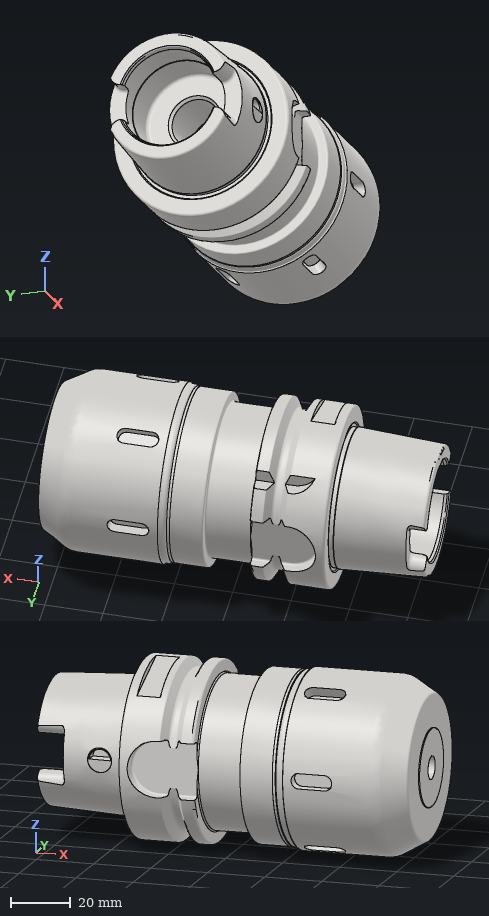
import cadquery as cq
import math


SHANK_LENGTH = 32.0
CHUCK_LENGTH = 100.0
OVERCUT = 5.0

SEAM_ANGLE = 255.0

GAUGE_DIA = 48.24
TAPER_RATE = 0.1
TAPER_END_X = -1.5
SHANK_ROOT_DIA = 47.8
SHANK_TIP_X = -SHANK_LENGTH
TIP_DIA = GAUGE_DIA - TAPER_RATE * (TAPER_END_X - SHANK_TIP_X)
TIP_ROUND = 1.0

UNDERCUT_DIA = 51.0
UNDERCUT_DEPTH = 0.4

FLANGE_DIA = 63.0
FLANGE_END_X = 26.0
FLANGE_FACE_ROUND = 1.0
FLANGE_BACK_ROUND = 1.0
GROOVE_BOTTOM_DIA = 54.8
GROOVE_CENTER_X = 17.75
GROOVE_BOTTOM_WIDTH = 2.7
GROOVE_WALL_ANGLE = 30.0
GROOVE_BOTTOM_ROUND = 1.0
GROOVE_RIM_ROUND = 0.5

NECK_DIA = 53.0
NECK_ROUND = 0.5
COLLAR_DIA = 60.0
COLLAR_START_X = 42.0
COLLAR_END_X = 53.5
COLLAR_ROUND = 0.6
CORE_DIA = 48.0
NOSE_DIA = 27.0

SHANK_BORE_DIA = 34.0
SHANK_BORE_DEPTH = 26.5
CAVITY_DIA = 34.4
CAVITY_START_X = -19.3
CAVITY_FLOOR_DIA = 31.6
CAVITY_ROUND = (CAVITY_DIA - CAVITY_FLOOR_DIA) / 2
BORE_MOUTH_DIA = 35.8
BORE_MOUTH_MID_DIA = 34.9
BORE_MOUTH_STEP = 0.5
BORE_MOUTH_DEPTH = 1.5
TUBE_BORE_DIA = 17.0
TUBE_BORE_DEPTH = 20.0
TUBE_BORE_CHAMFER = 1.0
THROUGH_DIA = 8.0

TIP_SLOT_WIDTH = 12.5
TIP_SLOT_LIP_ROUND = 4.2
TIP_SLOT_LIP_Y = 20.6
TIP_SLOT_CORNER = 1.4
DEEP_TIP_SLOT = 10.0
SHALLOW_TIP_SLOT = 6.0

RADIAL_HOLE_X = -9.0
RADIAL_HOLE_DIA = 7.5
RADIAL_HOLE_RIM_DIA = 8.5
RADIAL_HOLE_DEPTH = 4.5
RADIAL_HOLE_EDGE_Z = 0.2
RADIAL_HOLE_STEP = 0.1

KEYWAY_WIDTH = 19.5
KEYWAY_START_X = 3.1
KEYWAY_FLOOR_Y = NECK_DIA / 2
KEYWAY_FLOOR_ROUND = 0.8

NOTCH_FLOOR_Y = 20.2
NOTCH_FLOOR_Z = 19.8
NOTCH_RADIUS = 8.4
NOTCH_CENTER_X = 13.1
FLAT_START_X = 3.5
FLAT_END_X = 11.6
FLAT_TILT = 21.8
FLAT_DISTANCE = FLANGE_DIA / 2 * math.cos(math.radians(FLAT_TILT))

SEAL_WIDTH = 1.0

NUT_DIA = 62.0
NUT_START_X = COLLAR_END_X + SEAL_WIDTH
NOSE_PROTRUSION = 0.4
NUT_END_X = CHUCK_LENGTH - NOSE_PROTRUSION
NUT_RIM_DIA = 61.0
NUT_RIM_END_X = 57.4
NUT_RIM_ROUND = 1.5
NUT_STEP_ROUND = 0.4
NUT_CONE_START_X = 89.5
NUT_CONE_ANGLE = 30.0
NUT_CONE_ROUND = 7.5
NUT_END_ROUND = 1.2
NUT_LIP = 6.0
WRENCH_SLOT_COUNT = 6
WRENCH_SLOT_LENGTH = 14.2
WRENCH_SLOT_WIDTH = 5.3
WRENCH_SLOT_X = 67.5
WRENCH_SLOT_FLOOR = 27.0


def turned(points):
    """Solid of revolution about X from (x, diameter) points, with its seam at an angle to Y and Z."""
    half_section = [(x, diameter / 2) for x, diameter in points]
    body = cq.Workplane("XY").polyline(half_section).close().revolve(360, (0, 0, 0), (1, 0, 0))
    return body.rotate((0, 0, 0), (1, 0, 0), SEAM_ANGLE)


def ring_edges(body, x, diameter):
    """The full circular edges of a turned body at one station along X."""
    tolerance = 1e-3
    found = [
        edge
        for edge in body.edges("%CIRCLE").vals()
        if abs(edge.Center().x - x) < tolerance and abs(edge.radius() - diameter / 2) < tolerance
    ]
    return body.newObject(found)


def round_ring(body, x, diameter, radius):
    """Fillet one circular edge of a turned body."""
    return ring_edges(body, x, diameter).fillet(radius)


def cylinder_along_x(start_x, end_x, diameter):
    return cq.Workplane("YZ", origin=(start_x, 0, 0)).circle(diameter / 2).extrude(end_x - start_x)


def holder_blank():
    groove_rise = (FLANGE_DIA - GROOVE_BOTTOM_DIA) / 2
    groove_flank = groove_rise * math.tan(math.radians(GROOVE_WALL_ANGLE))
    bottom_start = GROOVE_CENTER_X - GROOVE_BOTTOM_WIDTH / 2
    bottom_end = GROOVE_CENTER_X + GROOVE_BOTTOM_WIDTH / 2
    rim_start = bottom_start - groove_flank
    rim_end = bottom_end + groove_flank
    nose_start = NUT_END_X - NUT_LIP
    root_drop = (GAUGE_DIA - SHANK_ROOT_DIA) / 2
    body = turned([
        (SHANK_TIP_X, 0),
        (SHANK_TIP_X, TIP_DIA),
        (TAPER_END_X, GAUGE_DIA),
        (TAPER_END_X + root_drop, SHANK_ROOT_DIA),
        (UNDERCUT_DEPTH, SHANK_ROOT_DIA),
        (UNDERCUT_DEPTH, UNDERCUT_DIA - 2 * UNDERCUT_DEPTH),
        (0, UNDERCUT_DIA),
        (0, FLANGE_DIA),
        (rim_start, FLANGE_DIA),
        (bottom_start, GROOVE_BOTTOM_DIA),
        (bottom_end, GROOVE_BOTTOM_DIA),
        (rim_end, FLANGE_DIA),
        (FLANGE_END_X, FLANGE_DIA),
        (FLANGE_END_X, NECK_DIA),
        (COLLAR_START_X, NECK_DIA),
        (COLLAR_START_X, COLLAR_DIA),
        (COLLAR_END_X, COLLAR_DIA),
        (COLLAR_END_X, CORE_DIA),
        (nose_start, CORE_DIA),
        (nose_start, NOSE_DIA),
        (CHUCK_LENGTH, NOSE_DIA),
        (CHUCK_LENGTH, 0),
    ])
    rounds = [
        (SHANK_TIP_X, TIP_DIA, TIP_ROUND),
        (0, FLANGE_DIA, FLANGE_FACE_ROUND),
        (rim_start, FLANGE_DIA, GROOVE_RIM_ROUND),
        (bottom_start, GROOVE_BOTTOM_DIA, GROOVE_BOTTOM_ROUND),
        (bottom_end, GROOVE_BOTTOM_DIA, GROOVE_BOTTOM_ROUND),
        (rim_end, FLANGE_DIA, GROOVE_RIM_ROUND),
        (FLANGE_END_X, FLANGE_DIA, FLANGE_BACK_ROUND),
        (FLANGE_END_X, NECK_DIA, NECK_ROUND),
        (COLLAR_START_X, NECK_DIA, NECK_ROUND),
        (COLLAR_START_X, COLLAR_DIA, COLLAR_ROUND),
    ]
    for x, diameter, radius in rounds:
        body = round_ring(body, x, diameter, radius)
    return body


def holder_bore():
    """Stepped bore: shank cavity, coolant tube bore and a through hole."""
    cavity_floor = SHANK_TIP_X + SHANK_BORE_DEPTH
    tube_floor = cavity_floor + TUBE_BORE_DEPTH
    bore = turned([
        (SHANK_TIP_X, 0),
        (SHANK_TIP_X, BORE_MOUTH_DIA),
        (SHANK_TIP_X + BORE_MOUTH_STEP, BORE_MOUTH_MID_DIA),
        (SHANK_TIP_X + BORE_MOUTH_DEPTH, SHANK_BORE_DIA),
        (CAVITY_START_X, SHANK_BORE_DIA),
        (CAVITY_START_X, CAVITY_DIA),
        (cavity_floor, CAVITY_DIA),
        (cavity_floor, TUBE_BORE_DIA + 2 * TUBE_BORE_CHAMFER),
        (cavity_floor + TUBE_BORE_CHAMFER, TUBE_BORE_DIA),
        (tube_floor, TUBE_BORE_DIA),
        (tube_floor, THROUGH_DIA),
        (CHUCK_LENGTH, THROUGH_DIA),
        (CHUCK_LENGTH, 0),
    ])
    return round_ring(bore, cavity_floor, CAVITY_DIA, CAVITY_ROUND)


def tip_slot(side, depth):
    """Drive slot through the shank wall; side is -1 for -Y and +1 for +Y."""
    half_width = TIP_SLOT_WIDTH / 2
    lip_z = half_width + TIP_SLOT_LIP_ROUND
    lip_start_y = TIP_SLOT_LIP_Y - TIP_SLOT_LIP_ROUND
    diagonal = TIP_SLOT_LIP_ROUND * math.sqrt(0.5)
    lip_mid = (lip_start_y + diagonal, lip_z - diagonal)
    inner_y = SHANK_BORE_DIA / 4
    outer_y = GAUGE_DIA / 2
    slot = (
        cq.Workplane("YZ", origin=(SHANK_TIP_X, 0, 0))
        .moveTo(side * inner_y, -half_width)
        .lineTo(side * lip_start_y, -half_width)
        .threePointArc((side * lip_mid[0], -lip_mid[1]), (side * TIP_SLOT_LIP_Y, -lip_z))
        .lineTo(side * outer_y, -lip_z)
        .lineTo(side * outer_y, lip_z)
        .lineTo(side * TIP_SLOT_LIP_Y, lip_z)
        .threePointArc((side * lip_mid[0], lip_mid[1]), (side * lip_start_y, half_width))
        .lineTo(side * inner_y, half_width)
        .close()
        .extrude(depth)
    )
    slot_walls = cq.selectors.BoxSelector(
        (SHANK_TIP_X, -TIP_SLOT_LIP_Y, -lip_z),
        (SHANK_TIP_X + OVERCUT + depth, TIP_SLOT_LIP_Y, lip_z),
    )
    return slot.faces(">X").edges(slot_walls).edges("not |Z").fillet(TIP_SLOT_CORNER)


def radial_hole():
    """Countersunk blind hole on the -Y side, full depth above its edge and a shallow step below it."""
    rim_radius = RADIAL_HOLE_RIM_DIA / 2
    surface_y = (GAUGE_DIA - TAPER_RATE * (TAPER_END_X - RADIAL_HOLE_X)) / 2
    sink_depth = (RADIAL_HOLE_RIM_DIA - RADIAL_HOLE_DIA) / 2
    plane = cq.Plane(origin=(RADIAL_HOLE_X, -surface_y, 0), xDir=(1, 0, 0), normal=(0, -1, 0))
    rim = cq.Workplane(plane).circle(rim_radius).extrude(OVERCUT)
    countersink = cq.Workplane(plane).circle(rim_radius).extrude(-sink_depth, taper=45)
    drill = cq.Workplane(plane).circle(RADIAL_HOLE_DIA / 2).extrude(-RADIAL_HOLE_DEPTH)
    upper_half = (
        cq.Workplane("XY", origin=(RADIAL_HOLE_X, -surface_y, RADIAL_HOLE_EDGE_Z))
        .rect(2 * rim_radius, 2 * surface_y)
        .extrude(rim_radius)
    )
    upper_hole = rim.union(countersink).union(drill).intersect(upper_half)
    shank_core = turned([
        (SHANK_TIP_X, 0),
        (SHANK_TIP_X, TIP_DIA - 2 * RADIAL_HOLE_STEP),
        (TAPER_END_X, GAUGE_DIA - 2 * RADIAL_HOLE_STEP),
        (TAPER_END_X, 0),
    ])
    lower_step = (
        cq.Workplane(plane)
        .circle(rim_radius)
        .extrude(OVERCUT, both=True)
        .cut(shank_core)
    )
    return upper_hole.union(lower_step)


def keyway(side):
    """Round-ended keyway that runs out through the back of the flange."""
    radius = KEYWAY_WIDTH / 2
    center_x = KEYWAY_START_X + radius
    plane = cq.Plane(origin=(0, side * KEYWAY_FLOOR_Y, 0), xDir=(1, 0, 0), normal=(0, side, 0))
    outline = (
        cq.Workplane(plane)
        .moveTo(FLANGE_END_X + OVERCUT, -radius)
        .lineTo(center_x, -radius)
        .threePointArc((KEYWAY_START_X, 0), (center_x, radius))
        .lineTo(FLANGE_END_X + OVERCUT, radius)
        .close()
        .extrude(FLANGE_DIA / 2 - KEYWAY_FLOOR_Y + OVERCUT)
    )
    floor = "<Y" if side > 0 else ">Y"
    return outline.faces(floor).edges().fillet(KEYWAY_FLOOR_ROUND)


def index_notch():
    """Round-ended notch on the upper +Y side of the flange."""
    center_z = NOTCH_FLOOR_Z + NOTCH_RADIUS
    plane = cq.Plane(origin=(0, NOTCH_FLOOR_Y, 0), xDir=(1, 0, 0), normal=(0, -1, 0))
    return (
        cq.Workplane(plane)
        .moveTo(FLANGE_END_X, NOTCH_FLOOR_Z)
        .lineTo(NOTCH_CENTER_X, NOTCH_FLOOR_Z)
        .threePointArc((NOTCH_CENTER_X - NOTCH_RADIUS, center_z), (NOTCH_CENTER_X, center_z + NOTCH_RADIUS))
        .lineTo(FLANGE_END_X, center_z + NOTCH_RADIUS)
        .close()
        .extrude(-FLANGE_DIA / 2)
    )


def identification_flat():
    """Flat chord pocket on the upper -Y side of the flange."""
    length = FLAT_END_X - FLAT_START_X
    return (
        cq.Workplane("XY", origin=((FLAT_START_X + FLAT_END_X) / 2, 0, FLAT_DISTANCE))
        .rect(length, FLANGE_DIA)
        .extrude(OVERCUT)
        .rotate((0, 0, 0), (1, 0, 0), FLAT_TILT)
    )


def make_holder():
    cutters = [
        holder_bore(),
        tip_slot(-1, DEEP_TIP_SLOT),
        tip_slot(1, SHALLOW_TIP_SLOT),
        radial_hole(),
        keyway(-1),
        keyway(1),
        index_notch(),
        identification_flat(),
    ]
    body = holder_blank()
    for cutter in cutters:
        body = body.cut(cutter)
    return body


def make_seal_ring():
    ring = cylinder_along_x(COLLAR_END_X, NUT_START_X, COLLAR_DIA)
    return ring.cut(cylinder_along_x(COLLAR_END_X, NUT_START_X, CORE_DIA))


def wrench_slot(angle):
    return (
        cq.Workplane("XY", origin=(WRENCH_SLOT_X, 0, WRENCH_SLOT_FLOOR))
        .slot2D(WRENCH_SLOT_LENGTH, WRENCH_SLOT_WIDTH)
        .extrude(NUT_DIA / 2 - WRENCH_SLOT_FLOOR + OVERCUT)
        .rotate((0, 0, 0), (1, 0, 0), angle)
    )


def make_nut():
    cone_drop = (NUT_END_X - NUT_CONE_START_X) * math.tan(math.radians(NUT_CONE_ANGLE))
    end_dia = NUT_DIA - 2 * cone_drop
    lip_start = NUT_END_X - NUT_LIP
    nut = turned([
        (NUT_START_X, CORE_DIA),
        (NUT_START_X, NUT_RIM_DIA),
        (NUT_RIM_END_X, NUT_RIM_DIA),
        (NUT_RIM_END_X, NUT_DIA),
        (NUT_CONE_START_X, NUT_DIA),
        (NUT_END_X, end_dia),
        (NUT_END_X, NOSE_DIA),
        (lip_start, NOSE_DIA),
        (lip_start, CORE_DIA),
    ])
    rounds = [
        (NUT_START_X, NUT_RIM_DIA, NUT_RIM_ROUND),
        (NUT_RIM_END_X, NUT_RIM_DIA, NUT_STEP_ROUND),
        (NUT_CONE_START_X, NUT_DIA, NUT_CONE_ROUND),
        (NUT_END_X, end_dia, NUT_END_ROUND),
    ]
    for x, diameter, radius in rounds:
        nut = round_ring(nut, x, diameter, radius)
    for index in range(WRENCH_SLOT_COUNT):
        nut = nut.cut(wrench_slot(90 + index * 360 / WRENCH_SLOT_COUNT))
    return nut


holder = make_holder()
seal_ring = make_seal_ring()
nut = make_nut()

result = cq.Compound.makeCompound([holder.val(), seal_ring.val(), nut.val()])